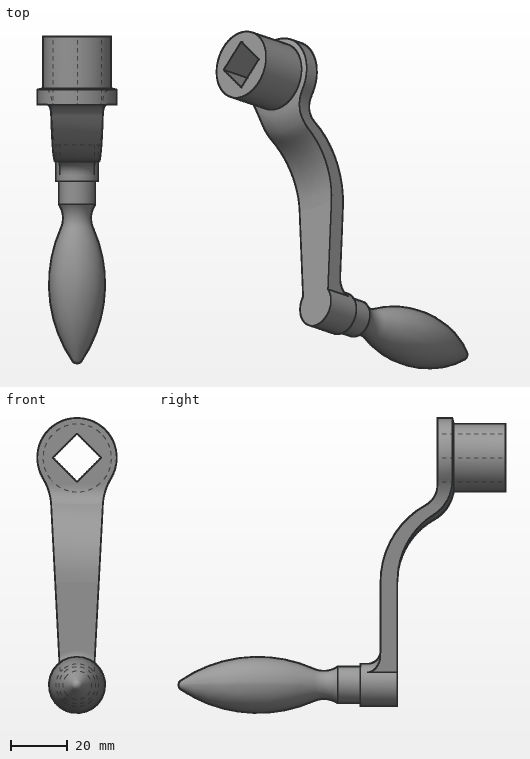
import cadquery as cq
import math


hub_radius = 12.0
hub_length = 18.0
square_side = 12.0

flange_radius = 14.0
arm_thickness = 6.0
arm_offset = 20.0
arm_length = 79.88
half_width_at_hub = 10.0
half_width_at_grip = 5.8
neck_blend_radius = 20.0
upper_bend_radius = 8.0
lower_bend_radius = 31.0
bend_end_z = -43.7

boss_radius = 7.5
boss_length = 13.0
boss_fillet = 4.5
collar_radius = 6.5
collar_length = 8.0
grip_max_radius = 9.95
grip_neck_radius = 5.0
grip_neck_depth = 63.9
grip_max_depth = 87.1
tip_round_depth = 114.0
total_depth = 115.0

flange_back = hub_length
flange_front = flange_back + arm_thickness
arm_back = flange_back + arm_offset
arm_front = flange_front + arm_offset
boss_end = arm_back + boss_length
collar_end = boss_end + collar_length

upper_center_depth = flange_front + upper_bend_radius
lower_center_depth = arm_front - lower_bend_radius
bend_center_distance = upper_bend_radius + lower_bend_radius
bend_center_drop = math.sqrt(bend_center_distance**2 - (upper_center_depth - lower_center_depth)**2)
bend_start_z = bend_end_z + bend_center_drop
bend_angle = math.atan2(bend_center_drop, upper_center_depth - lower_center_depth)


def arc_point(center, radius, angle):
    return (center[0] + radius * math.cos(angle), center[1] + radius * math.sin(angle))


def radial_point(depth, radius):
    """Point of a turned profile, drawn in a plane through the grip axis."""
    return (radius, -depth)


def bend_points(upper_radius, lower_radius):
    """Points (depth, z) of an S-bend: upper start and middle, tangency, lower middle and end."""
    upper_center = (upper_center_depth, bend_start_z)
    lower_center = (lower_center_depth, bend_end_z)
    return (
        arc_point(upper_center, upper_radius, math.pi),
        arc_point(upper_center, upper_radius, math.pi + bend_angle / 2),
        arc_point(lower_center, lower_radius, bend_angle),
        arc_point(lower_center, lower_radius, bend_angle / 2),
        arc_point(lower_center, lower_radius, 0),
    )


def along_y(plane_points):
    """Convert (depth, z) points to (Y, Z)."""
    return [(-depth, z) for depth, z in plane_points]


def mirror(point):
    return (-point[0], point[1])


def make_outline():
    """Flange disc blended into the tapered arm, extruded over the full depth of the arm and boss."""
    slope = (half_width_at_hub - half_width_at_grip) / arm_length
    side_angle = math.atan(slope)
    center_distance = flange_radius + neck_blend_radius
    line_distance = half_width_at_hub * math.cos(side_angle) + neck_blend_radius
    center_angle = -math.acos(line_distance / center_distance) - side_angle
    blend_center = arc_point((0, 0), center_distance, center_angle)
    on_circle = arc_point((0, 0), flange_radius, center_angle)
    line_end_angle = math.pi - side_angle
    circle_end_angle = math.pi + center_angle
    on_side = arc_point(blend_center, neck_blend_radius, line_end_angle)
    mid_angle = (line_end_angle + circle_end_angle) / 2
    blend_mid = arc_point(blend_center, neck_blend_radius, mid_angle)

    return (
        cq.Workplane("XZ", origin=(0, -flange_back, 0))
        .moveTo(half_width_at_grip, -arm_length)
        .lineTo(*on_side)
        .threePointArc(blend_mid, on_circle)
        .threePointArc((0, flange_radius), mirror(on_circle))
        .threePointArc(mirror(blend_mid), mirror(on_side))
        .lineTo(-half_width_at_grip, -arm_length)
        .close()
        .extrude(boss_end - flange_back)
    )


def make_front_limit():
    """Block extruded along X that lies behind the bent front face of the arm."""
    start, upper_mid, tangency, lower_mid, end = along_y(bend_points(upper_bend_radius, lower_bend_radius))
    return (
        cq.Workplane("YZ")
        .moveTo(-flange_front, flange_radius)
        .lineTo(*start)
        .threePointArc(upper_mid, tangency)
        .threePointArc(lower_mid, end)
        .lineTo(-arm_front, -arm_length)
        .lineTo(0, -arm_length)
        .lineTo(0, flange_radius)
        .close()
        .extrude(flange_radius, both=True)
    )


def make_back_void():
    """Space behind the arm: the bent back face is a surface of revolution about the hub axis."""
    start, upper_mid, tangency, lower_mid, end = along_y(
        bend_points(upper_bend_radius + arm_thickness, lower_bend_radius - arm_thickness)
    )
    outer_z = -(arm_length + boss_radius)
    return (
        cq.Workplane("YZ")
        .moveTo(*start)
        .threePointArc(upper_mid, tangency)
        .threePointArc(lower_mid, end)
        .lineTo(-arm_back, outer_z)
        .lineTo(0, outer_z)
        .lineTo(0, bend_start_z)
        .close()
        .revolve(360, (0, 0), (1, 0))
    )


def make_hub():
    return cq.Workplane("XZ").circle(hub_radius).extrude(flange_front)


def make_square_hole():
    return (
        cq.Workplane("XZ")
        .transformed(rotate=(0, 0, 45))
        .rect(square_side, square_side)
        .extrude(flange_front)
    )


def make_boss():
    return cq.Workplane("XZ", origin=(0, -arm_back, -arm_length)).circle(boss_radius).extrude(boss_length)


def make_boss_fillet(outline):
    """Concave fillet between boss and arm front, limited to the width of the arm."""
    fillet_outer = boss_radius + boss_fillet
    center = (arm_front + boss_fillet, fillet_outer)
    arc_mid = arc_point(center, boss_fillet, math.radians(225))
    ring = (
        cq.Workplane("XY", origin=(0, 0, -arm_length))
        .moveTo(*radial_point(arm_back, 0))
        .lineTo(*radial_point(arm_back, fillet_outer))
        .lineTo(*radial_point(arm_front, fillet_outer))
        .threePointArc(radial_point(*arc_mid), radial_point(arm_front + boss_fillet, boss_radius))
        .lineTo(*radial_point(arm_front + boss_fillet, 0))
        .close()
        .revolve(360, (0, 0), (0, 1))
    )
    return ring.intersect(outline)


def make_grip():
    """Collar, waist and barrel turned about the grip axis; waist and barrel arcs are tangent."""
    waist_run = grip_neck_depth - collar_end
    waist_drop = collar_radius - grip_neck_radius
    waist_arc_radius = (waist_run**2 + waist_drop**2) / (2 * waist_drop)
    waist_center_radius = grip_neck_radius + waist_arc_radius
    run = grip_max_depth - grip_neck_depth
    overshoot = waist_center_radius - grip_max_radius
    barrel_rise = grip_max_radius - grip_neck_radius
    barrel_arc_radius = (run**2 + overshoot**2 - waist_arc_radius**2) / (2 * barrel_rise)
    barrel_center = (grip_max_depth, grip_max_radius - barrel_arc_radius)
    tangency_angle = math.atan2(waist_center_radius - barrel_center[1], -run)
    tangency = arc_point(barrel_center, barrel_arc_radius, tangency_angle)
    tip_run = tip_round_depth - grip_max_depth
    tip_radius = barrel_center[1] + math.sqrt(barrel_arc_radius**2 - tip_run**2)
    barrel_tip = radial_point(tip_round_depth, tip_radius)
    tip_height = total_depth - tip_round_depth
    cap_radius = (tip_radius**2 + tip_height**2) / (2 * tip_height)
    cap_half_angle = math.asin(tip_radius / cap_radius) / 2
    cap_mid = arc_point((total_depth - cap_radius, 0), cap_radius, cap_half_angle)

    return (
        cq.Workplane("XY", origin=(0, 0, -arm_length))
        .moveTo(*radial_point(boss_end, 0))
        .lineTo(*radial_point(boss_end, collar_radius))
        .lineTo(*radial_point(collar_end, collar_radius))
        .threePointArc(radial_point(grip_neck_depth, grip_neck_radius), radial_point(*tangency))
        .threePointArc(radial_point(grip_max_depth, grip_max_radius), barrel_tip)
        .threePointArc(radial_point(*cap_mid), radial_point(total_depth, 0))
        .close()
        .revolve(360, (0, 0), (0, 1))
    )


outline = make_outline()
arm = outline.intersect(make_front_limit()).cut(make_back_void())
result = (
    arm.union(make_hub())
    .union(make_boss())
    .union(make_boss_fillet(outline))
    .union(make_grip())
    .cut(make_square_hole())
)